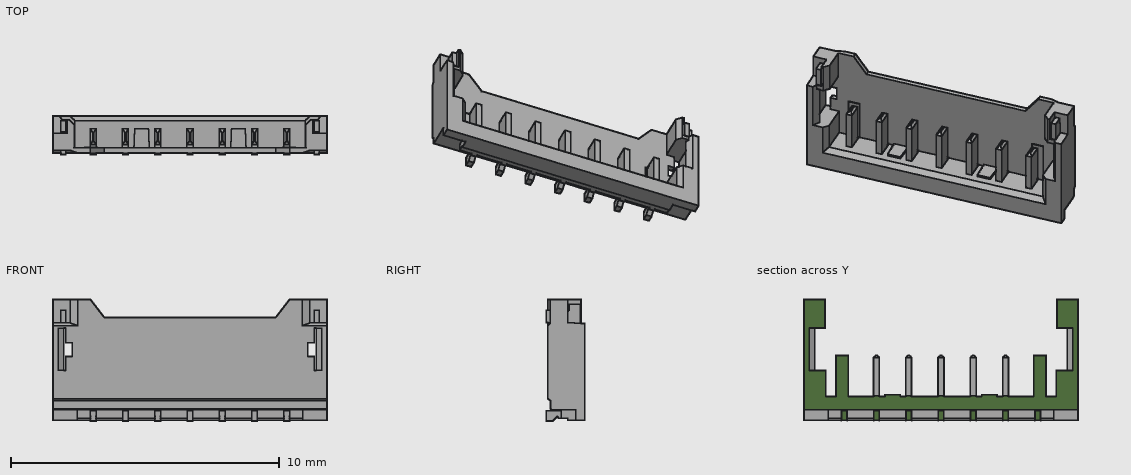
import cadquery as cq


LENGTH = 10.2
HALF = LENGTH / 2
HEIGHT = 4.53
OPEN_Y = 1.45
FACE_Y = 0.06
FACE_SETBACK = 0.1
RELIEF_Y = FACE_Y + FACE_SETBACK
UNDERSIDE_Z = 0.42
UNDERSIDE_BEVEL = 0.04
HEEL_Z = 0.03
BASE_RELIEF_Z = 0.75
BASE_RELIEF_TOP_Z = 0.84

SHELF_Z = 3.66
SHELF_Y = 1.31
NOTCH_LENGTH = 0.53
NOTCH_Y = 0.81
NOTCH_DROP = 0.03

WALL_INNER_Y = 0.25
CAVITY_HALF = 4.28
CAVITY_HALF_TOP = 4.31
CAVITY_FLOOR_Z = 0.92
MOUTH_BEVEL = 0.18
LOW_WALL_Z = 3.86
LOW_WALL_HALF = 3.18
SHOULDER_HALF = 3.7

CORNER_RELIEF_Z = 3.65
CORNER_RELIEF_INNER = 4.17
CORNER_RELIEF_DEEP = 4.46

SLOT_OUTER = 4.9
SLOT_INNER = 4.63
SLOT_BOTTOM_Z = 1.89
SLOT_TOP_Z = 3.46
TOOTH_TIP = 4.69
TOOTH_TIP_Y = 1.19
TOOTH_ROOT_Y = 1.07
TOOTH_BACK = 4.86
WINDOW_INNER = 4.39
WINDOW_BOTTOM_Z = 2.41
WINDOW_TOP_Z = 2.91

FOOT_HALF = 4.2
FOOT_Y = 1.11
HEEL_FRONT_Y = 0.56
HEEL_STEP_Y = 0.81
HEEL_STEP_Z = 0.1

PIN_COUNT = 7
PIN_ROW_LENGTH = 7.2
PIN_PITCH = PIN_ROW_LENGTH / (PIN_COUNT - 1)
TAIL_WIDTH = 0.21
TAIL_TOP_Z = 0.39
TAIL_NECK_Y = 0.47
TAIL_BEND_Y = 0.42
TAIL_BEND_Z = 0.17
TAIL_PAD_Y = 0.25
TAIL_ROOT_Y = HEEL_FRONT_Y + 0.05
PIN_WIDTH = 0.22
PIN_Y_MIN = 0.37
PIN_Y_MAX = 0.97
PIN_TOP_Z = 2.45
PIN_TIP_HEIGHT = 0.08
PIN_TIP_RUN = 0.14
PIN_RIDGE_WIDTH = 0.04
PIN_ROOT_HEIGHT = 0.03
PIN_BASE_Z = CAVITY_FLOOR_Z - 0.05

RIB_OUTER = 3.91
RIB_INNER = 3.45
RIB_DEPTH = 0.03
RIB_TOP_Z = 2.45

PAD_OFFSET = 1.5 * PIN_PITCH
PAD_WIDTH_WALL = 0.57
PAD_WIDTH_TIP = 0.51
PAD_TIP_Y = 0.97
PAD_HEIGHT = 0.07

NAIL_OUTER = 4.8
NAIL_INNER = 4.62
NAIL_TAB_TOP_Z = 4.13
NAIL_TAB_BOTTOM_Z = 3.66
NAIL_BLOCK_Y = 1.26
NAIL_BLOCK_TOP_Z = 4.35
NAIL_BLOCK_FRONT_Y = 0.86


def box(x0, x1, y0, y1, z0, z1):
    """Box between two opposite corners."""
    size = (x1 - x0, y1 - y0, z1 - z0)
    return cq.Workplane("XY").box(*size, centered=False).translate((x0, y0, z0))


def along_x(points, x0, x1):
    """Prism of a (Y, Z) outline from x0 to x1."""
    return cq.Workplane("YZ").polyline(points).close().extrude(x1 - x0).translate((x0, 0, 0))


def along_y(points, y0, y1):
    """Prism of an (X, Z) outline from y0 to y1."""
    return cq.Workplane("XZ").polyline(points).close().extrude(y0 - y1).translate((0, y0, 0))


def along_z(points, z0, z1):
    """Prism of an (X, Y) outline from z0 to z1."""
    return cq.Workplane("XY").polyline(points).close().extrude(z1 - z0).translate((0, 0, z0))


def both_ends(left):
    """A left-end shape together with its mirror image at the right end."""
    return left.union(left.mirror("YZ"))


def body():
    outline = [
        (FACE_Y, HEIGHT),
        (FACE_Y, BASE_RELIEF_TOP_Z),
        (RELIEF_Y, BASE_RELIEF_Z),
        (RELIEF_Y, UNDERSIDE_Z + UNDERSIDE_BEVEL),
        (RELIEF_Y + UNDERSIDE_BEVEL, UNDERSIDE_Z),
        (HEEL_FRONT_Y, UNDERSIDE_Z),
        (HEEL_FRONT_Y, HEEL_STEP_Z),
        (HEEL_STEP_Y, HEEL_STEP_Z),
        (HEEL_STEP_Y, HEEL_Z),
        (OPEN_Y, HEEL_Z),
        (OPEN_Y, SHELF_Z),
        (SHELF_Y, SHELF_Z),
        (SHELF_Y, HEIGHT),
    ]
    return along_x(outline, -HALF, HALF)


def mouth(half, back_y, z0, z1):
    """Cavity from the front wall to back_y, flared at the open side."""
    flare = half + MOUTH_BEVEL
    bevel_y = back_y - MOUTH_BEVEL
    outline = [
        (-half, WALL_INNER_Y),
        (half, WALL_INNER_Y),
        (half, bevel_y),
        (flare, back_y),
        (-flare, back_y),
        (-half, bevel_y),
    ]
    return along_z(outline, z0, z1)


def cavity():
    upper = mouth(CAVITY_HALF_TOP, SHELF_Y, SLOT_TOP_Z, HEIGHT)
    lower_outline = mouth(CAVITY_HALF, OPEN_Y, CAVITY_FLOOR_Z - MOUTH_BEVEL, SHELF_Z)
    side = [
        (WALL_INNER_Y, CAVITY_FLOOR_Z),
        (OPEN_Y - MOUTH_BEVEL, CAVITY_FLOOR_Z),
        (OPEN_Y, CAVITY_FLOOR_Z - MOUTH_BEVEL),
        (OPEN_Y, SHELF_Z),
        (WALL_INNER_Y, SHELF_Z),
    ]
    lower = lower_outline.intersect(along_x(side, -HALF, HALF))
    return upper.union(lower)


def front_wall_dip():
    outline = [
        (-SHOULDER_HALF, HEIGHT),
        (-LOW_WALL_HALF, LOW_WALL_Z),
        (LOW_WALL_HALF, LOW_WALL_Z),
        (SHOULDER_HALF, HEIGHT),
    ]
    return along_y(outline, 0, WALL_INNER_Y)


def corner_relief():
    plan = [
        (-HALF, FACE_Y),
        (-CORNER_RELIEF_INNER, FACE_Y),
        (-CORNER_RELIEF_DEEP, RELIEF_Y),
        (-HALF, RELIEF_Y),
    ]
    side = [
        (FACE_Y, HEIGHT),
        (FACE_Y, CORNER_RELIEF_Z - FACE_SETBACK),
        (RELIEF_Y, CORNER_RELIEF_Z),
        (RELIEF_Y, HEIGHT),
    ]
    left = along_z(plan, 0, HEIGHT).intersect(along_x(side, -HALF, 0))
    return both_ends(left)


def nail_notch():
    side = [
        (NOTCH_Y, HEIGHT),
        (NOTCH_Y, SHELF_Z),
        (OPEN_Y, SHELF_Z - NOTCH_DROP),
        (OPEN_Y, HEIGHT),
    ]
    return both_ends(along_x(side, -HALF, -HALF + NOTCH_LENGTH))


def latch_slot():
    """Slot right through each end, opening into the cavity behind the front wall."""
    plan = [
        (-SLOT_OUTER, FACE_Y),
        (-SLOT_INNER, FACE_Y),
        (-SLOT_INNER, WALL_INNER_Y),
        (-CAVITY_HALF, WALL_INNER_Y),
        (-CAVITY_HALF, OPEN_Y),
        (-TOOTH_BACK, OPEN_Y),
        (-TOOTH_TIP, TOOTH_TIP_Y),
        (-SLOT_OUTER, TOOTH_ROOT_Y),
    ]
    slot = along_z(plan, SLOT_BOTTOM_Z, SLOT_TOP_Z)
    window = box(-SLOT_INNER, -WINDOW_INNER, FACE_Y, WALL_INNER_Y, WINDOW_BOTTOM_Z, WINDOW_TOP_Z)
    return both_ends(slot.union(window))


def rear_opening():
    """Continues the open back of each slot up to the shelf, leaving only the outer skin."""
    skin_root = TOOTH_BACK + (TOOTH_TIP - TOOTH_BACK) * (OPEN_Y - SHELF_Y) / (OPEN_Y - TOOTH_TIP_Y)
    plan = [
        (-TOOTH_BACK, OPEN_Y),
        (-skin_root, SHELF_Y),
        (-CAVITY_HALF, SHELF_Y),
        (-CAVITY_HALF, OPEN_Y),
    ]
    return both_ends(along_z(plan, SLOT_TOP_Z, SHELF_Z))


def foot_relief():
    return both_ends(box(-HALF, -FOOT_HALF, HEEL_FRONT_Y, FOOT_Y, HEEL_Z, UNDERSIDE_Z))


def contact(x):
    """Upright pin with a ridged tip, and its low root on the cavity floor."""
    half = PIN_WIDTH / 2
    ridge = PIN_RIDGE_WIDTH / 2
    edge_z = PIN_TOP_Z - PIN_TIP_HEIGHT
    side = [
        (PIN_Y_MIN, PIN_BASE_Z),
        (PIN_Y_MAX, PIN_BASE_Z),
        (PIN_Y_MAX, edge_z),
        (PIN_Y_MAX - PIN_TIP_RUN, PIN_TOP_Z),
        (PIN_Y_MIN + PIN_TIP_RUN, PIN_TOP_Z),
        (PIN_Y_MIN, edge_z),
    ]
    end = [
        (x - half, PIN_BASE_Z),
        (x + half, PIN_BASE_Z),
        (x + half, edge_z),
        (x + ridge, PIN_TOP_Z),
        (x - ridge, PIN_TOP_Z),
        (x - half, edge_z),
    ]
    post = along_x(side, x - half, x + half).intersect(along_y(end, PIN_Y_MIN, PIN_Y_MAX))
    root_top_z = CAVITY_FLOOR_Z + PIN_ROOT_HEIGHT
    root = box(x - half, x + half, WALL_INNER_Y, PIN_Y_MIN, PIN_BASE_Z, root_top_z)
    return post.union(root)


def tail(x):
    """Solder tail running from the heel to the solder plane."""
    side = [
        (0, 0),
        (0, TAIL_TOP_Z),
        (TAIL_ROOT_Y, TAIL_TOP_Z),
        (TAIL_ROOT_Y, HEEL_STEP_Z),
        (TAIL_NECK_Y, HEEL_STEP_Z),
        (TAIL_BEND_Y, TAIL_BEND_Z),
        (TAIL_PAD_Y, 0),
    ]
    return along_x(side, x - TAIL_WIDTH / 2, x + TAIL_WIDTH / 2)


def wall_rib():
    """Thin rib on the front wall beside the outermost pin at each end."""
    rib = box(-RIB_OUTER, -RIB_INNER, WALL_INNER_Y, WALL_INNER_Y + RIB_DEPTH, CAVITY_FLOOR_Z, RIB_TOP_Z)
    return both_ends(rib)


def floor_pad(x):
    outline = [
        (x - PAD_WIDTH_WALL / 2, WALL_INNER_Y),
        (x + PAD_WIDTH_WALL / 2, WALL_INNER_Y),
        (x + PAD_WIDTH_TIP / 2, PAD_TIP_Y),
        (x - PAD_WIDTH_TIP / 2, PAD_TIP_Y),
    ]
    return along_z(outline, CAVITY_FLOOR_Z, CAVITY_FLOOR_Z + PAD_HEIGHT)


def solder_nails():
    tab = box(-NAIL_OUTER, -NAIL_INNER, 0, RELIEF_Y, NAIL_TAB_BOTTOM_Z, NAIL_TAB_TOP_Z)
    block_side = [
        (NAIL_BLOCK_Y, SHELF_Z - NOTCH_DROP),
        (NAIL_BLOCK_Y, NAIL_BLOCK_TOP_Z),
        (NAIL_BLOCK_FRONT_Y, NAIL_BLOCK_TOP_Z),
        (NAIL_BLOCK_FRONT_Y, NAIL_TAB_TOP_Z),
        (NOTCH_Y, NAIL_TAB_TOP_Z - (NAIL_BLOCK_FRONT_Y - NOTCH_Y)),
        (NOTCH_Y, SHELF_Z - NOTCH_DROP),
    ]
    block = along_x(block_side, -NAIL_OUTER, -NAIL_INNER)
    return both_ends(tab.union(block))


result = body()
cutters = [
    cavity(),
    front_wall_dip(),
    corner_relief(),
    nail_notch(),
    latch_slot(),
    rear_opening(),
    foot_relief(),
]
for cutter in cutters:
    result = result.cut(cutter)

for index in range(PIN_COUNT):
    pin_x = (index - (PIN_COUNT - 1) / 2) * PIN_PITCH
    result = result.union(contact(pin_x)).union(tail(pin_x))

for pad_x in (-PAD_OFFSET, PAD_OFFSET):
    result = result.union(floor_pad(pad_x))

result = result.union(wall_rib())
result = result.union(solder_nails())